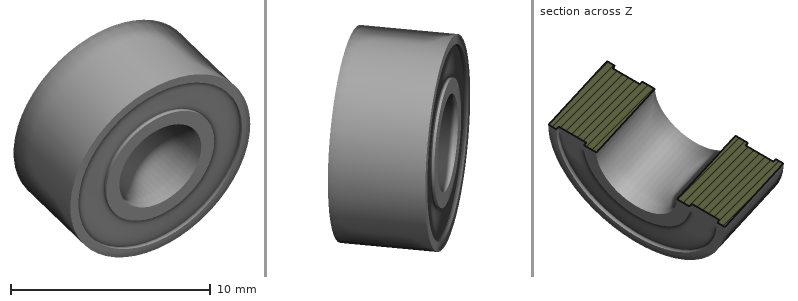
import cadquery as cq

outer_diameter = 11.0
bore_diameter = 5.0
width = 5.0

recess_outer_diameter = 10.0
recess_inner_diameter = 6.6
recess_depth = 0.2


def ring(start_x, length, outside, inside):
    """Tube along X with the given outside and inside diameters."""
    profile = cq.Workplane("YZ", origin=(start_x, 0, 0)).circle(outside / 2).circle(inside / 2)
    return profile.extrude(length)


result = ring(-width / 2, width, outer_diameter, bore_diameter)

for recess_start in (-width / 2, width / 2 - recess_depth):
    recess = ring(recess_start, recess_depth, recess_outer_diameter, recess_inner_diameter)
    result = result.cut(recess)